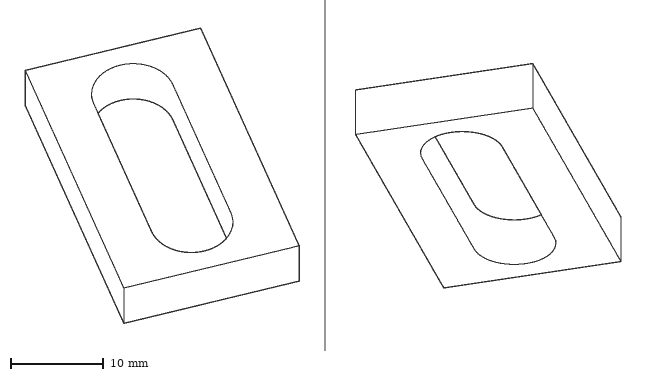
import cadquery as cq

plate_length = 34.0
plate_width = 20.0
plate_thickness = 5.6

slot_length = 29.0
slot_width = 9.0

plate = cq.Workplane("XY").box(plate_length, plate_width, plate_thickness)

result = plate.faces(">Z").workplane().slot2D(slot_length, slot_width).cutThruAll()